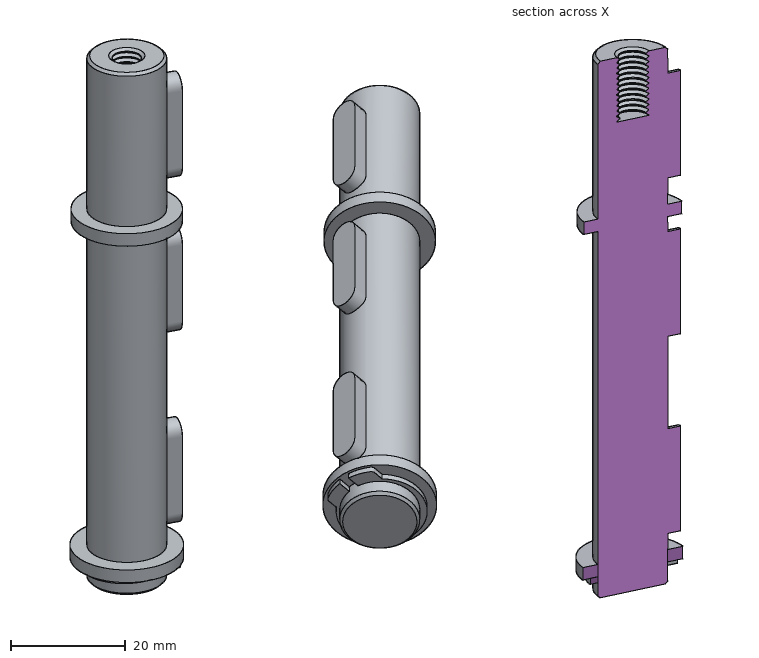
import cadquery as cq
import math

SHAFT_LENGTH = 102.0
SHAFT_DIAMETER = 14.0
SHAFT_RADIUS = SHAFT_DIAMETER / 2
SHAFT_CHAMFER = 0.5

COLLAR_DIAMETER = 19.5
COLLAR_BOTTOM = 69.7
COLLAR_THICKNESS = 2.4

KEY_WIDTH = 5.0
KEY_LENGTH = 20.0
KEY_TOP_Y = 9.5
KEY_BOTTOMS = [9.5, 46.9, 77.0]

THREAD_MINOR_RADIUS = 2.5
THREAD_MAJOR_RADIUS = 3.2
THREAD_PITCH = 1.0
THREAD_CREST = 0.2
THREAD_TURNS = 12

RING_BOTTOM = 3.0
RING_THICKNESS = 1.1
RING_RADIUS = 8.0
RING_CENTER_Y = -0.5
LUG_TIP_RADIUS = 9.5
LUG_HALF_WIDTH = 5.3
LUG_CORNER_RADIUS = 0.8
RING_GAP = 2.0

WASHER_DIAMETER = 19.9
WASHER_BOTTOM = RING_BOTTOM + RING_THICKNESS
WASHER_THICKNESS = 2.4


def disc(radius, bottom, height):
    """Cylinder on the shaft axis, starting at the given height."""
    return cq.Workplane("XY").workplane(offset=bottom).circle(radius).extrude(height)


def make_key(bottom):
    """Round-ended key standing along the shaft, from the shaft axis out to the key top."""
    return (
        cq.Workplane("XZ")
        .center(0, bottom + KEY_LENGTH / 2)
        .slot2D(KEY_LENGTH, KEY_WIDTH, 90)
        .extrude(-KEY_TOP_Y)
    )


def make_threaded_hole():
    """Solid of the threaded hole, wide at the mouth and closed by a flat floor."""
    points = [(0, SHAFT_LENGTH), (THREAD_MAJOR_RADIUS, SHAFT_LENGTH)]
    for turn in range(THREAD_TURNS):
        crest_middle = SHAFT_LENGTH - (turn + 0.5) * THREAD_PITCH
        points.append((THREAD_MINOR_RADIUS, crest_middle + THREAD_CREST / 2))
        points.append((THREAD_MINOR_RADIUS, crest_middle - THREAD_CREST / 2))
        points.append((THREAD_MAJOR_RADIUS, crest_middle - THREAD_PITCH / 2))
    points.append((0, SHAFT_LENGTH - THREAD_TURNS * THREAD_PITCH))
    return cq.Workplane("XZ").polyline(points).close().revolve(360, (0, 0, 0), (0, 1, 0))


def make_shaft():
    """Shaft with its collar, three keys and threaded end."""
    shaft = disc(SHAFT_RADIUS, 0, SHAFT_LENGTH).faces("<Z or >Z").chamfer(SHAFT_CHAMFER)
    shaft = shaft.union(disc(COLLAR_DIAMETER / 2, COLLAR_BOTTOM, COLLAR_THICKNESS))
    for bottom in KEY_BOTTOMS:
        shaft = shaft.union(make_key(bottom))
    return shaft.cut(make_threaded_hole())


def make_washer():
    """Plain washer fitting around the shaft."""
    bore = disc(SHAFT_RADIUS, WASHER_BOTTOM, WASHER_THICKNESS)
    return disc(WASHER_DIAMETER / 2, WASHER_BOTTOM, WASHER_THICKNESS).cut(bore)


def make_retaining_ring():
    """Open eccentric ring whose two lugs have rounded outer corners."""
    lug_side_y = math.sqrt(LUG_TIP_RADIUS**2 - LUG_HALF_WIDTH**2)
    base = cq.Workplane("XY").workplane(offset=RING_BOTTOM)
    lugs = (
        base.moveTo(-LUG_HALF_WIDTH, 0)
        .lineTo(LUG_HALF_WIDTH, 0)
        .lineTo(LUG_HALF_WIDTH, lug_side_y)
        .threePointArc((0, LUG_TIP_RADIUS), (-LUG_HALF_WIDTH, lug_side_y))
        .close()
        .extrude(RING_THICKNESS)
        .edges("|Z")
        .edges(">Y")
        .fillet(LUG_CORNER_RADIUS)
    )
    gap = base.center(0, LUG_TIP_RADIUS / 2).rect(RING_GAP, LUG_TIP_RADIUS).extrude(RING_THICKNESS)
    ring = base.center(0, RING_CENTER_Y).circle(RING_RADIUS).extrude(RING_THICKNESS)
    bore = disc(SHAFT_RADIUS, RING_BOTTOM, RING_THICKNESS)
    return ring.union(lugs).cut(bore).cut(gap)


shaft = make_shaft()
washer = make_washer()
retaining_ring = make_retaining_ring()

result = cq.Compound.makeCompound([shaft.val(), washer.val(), retaining_ring.val()])